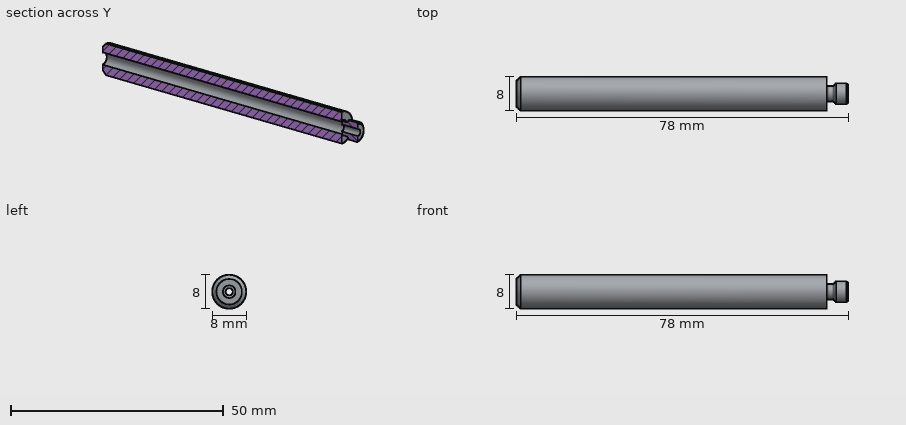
import cadquery as cq
import math

total_length = 78.0
sleeve_length = 73.0

sleeve_diameter = 8.0
sleeve_bore = 3.0
front_chamfer = 1.0

stud_bore = 1.6
neck_diameter = 3.7
head_diameter = 5.0
end_diameter = 4.2
head_cone_end = 75.2
cone_angle = 45.0
neck_fillet = 0.2
end_chamfer = (head_diameter - end_diameter) / 2


def make_sleeve():
    """Tube along X, with its chamfered end at X = 0."""
    body = cq.Workplane("YZ").circle(sleeve_diameter / 2).extrude(sleeve_length)
    body = body.faces("<X").chamfer(front_chamfer)
    bore = cq.Workplane("YZ").circle(sleeve_bore / 2).extrude(sleeve_length)
    return body.cut(bore)


def make_stud():
    """Revolved stud that butts against the back face of the sleeve.

    The neck has a quarter-round fillet at the sleeve and a smaller arc of the
    same radius where it runs into the cone under the head.
    """
    bore_radius = stud_bore / 2
    neck_radius = neck_diameter / 2
    head_radius = head_diameter / 2
    fillet_center_radius = neck_radius + neck_fillet

    def fillet_point(center_x, degrees):
        """Point on a neck fillet; zero degrees is where it meets the neck."""
        angle = math.radians(degrees)
        return (
            center_x + neck_fillet * math.sin(angle),
            fillet_center_radius - neck_fillet * math.cos(angle),
        )

    root_center_x = sleeve_length + neck_fillet
    cone_length = (head_radius - neck_radius) / math.tan(math.radians(cone_angle))
    cone_corner_x = head_cone_end - cone_length
    cone_center_x = cone_corner_x - neck_fillet * math.tan(math.radians(cone_angle / 2))

    profile = (
        cq.Workplane("XY")
        .moveTo(sleeve_length, bore_radius)
        .lineTo(*fillet_point(root_center_x, -90))
        .threePointArc(fillet_point(root_center_x, -45), fillet_point(root_center_x, 0))
        .lineTo(*fillet_point(cone_center_x, 0))
        .threePointArc(
            fillet_point(cone_center_x, cone_angle / 2),
            fillet_point(cone_center_x, cone_angle),
        )
        .lineTo(head_cone_end, head_radius)
        .lineTo(total_length - end_chamfer, head_radius)
        .lineTo(total_length, end_diameter / 2)
        .lineTo(total_length, bore_radius)
        .close()
    )
    return profile.revolve(360, (0, 0, 0), (1, 0, 0))


sleeve = make_sleeve()
stud = make_stud()
result = cq.Compound.makeCompound([sleeve.val(), stud.val()])